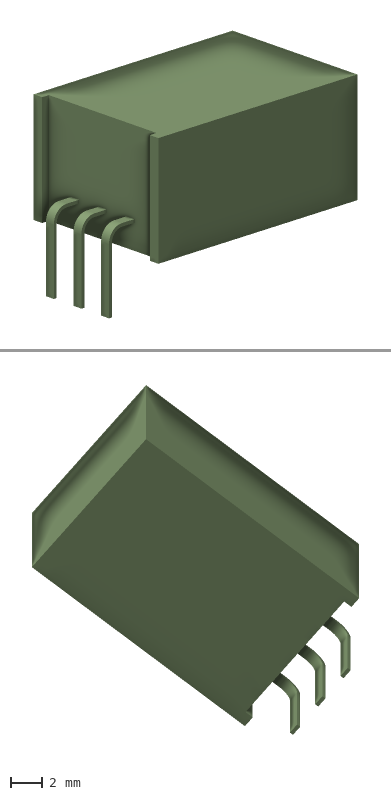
import cadquery as cq

case_width = 11.5
case_length = 17.5
case_height = 8.49
wall_thickness = 0.78
recess_depth = 0.6

overall_length = 19.12
overall_height = 12.5
pin_count = 3
pin_pitch = 2.55
pin_width = 0.73
pin_thickness = 0.25
pin_top = 2.15
bend_outer_radius = 1.13

bend_inner_radius = bend_outer_radius - pin_thickness
pin_bottom = case_height - overall_height
pin_front = case_length - overall_length
recess_width = case_width - 2 * wall_thickness


def make_case():
    """Case with its front edge at Y = 0 and its underside at Z = 0."""
    block = cq.Workplane("XY").box(case_width, case_length, case_height, centered=(True, False, False))
    recess = cq.Workplane("XY").box(recess_width, recess_depth, case_height, centered=(True, False, False))
    return block.cut(recess)


def make_pin(x_center):
    """Bent pin that starts on the recessed face."""
    bend_y = pin_front + bend_outer_radius
    bend_z = pin_top - bend_outer_radius
    return (
        cq.Workplane("YZ", origin=(x_center, 0, 0))
        .moveTo(recess_depth, pin_top)
        .lineTo(bend_y, pin_top)
        .radiusArc((pin_front, bend_z), -bend_outer_radius)
        .lineTo(pin_front, pin_bottom)
        .lineTo(pin_front + pin_thickness, pin_bottom)
        .lineTo(pin_front + pin_thickness, bend_z)
        .radiusArc((bend_y, pin_top - pin_thickness), bend_inner_radius)
        .lineTo(recess_depth, pin_top - pin_thickness)
        .close()
        .extrude(pin_width / 2, both=True)
    )


result = make_case()
for index in range(pin_count):
    pin_x = (index - (pin_count - 1) / 2) * pin_pitch
    result = result.union(make_pin(pin_x))